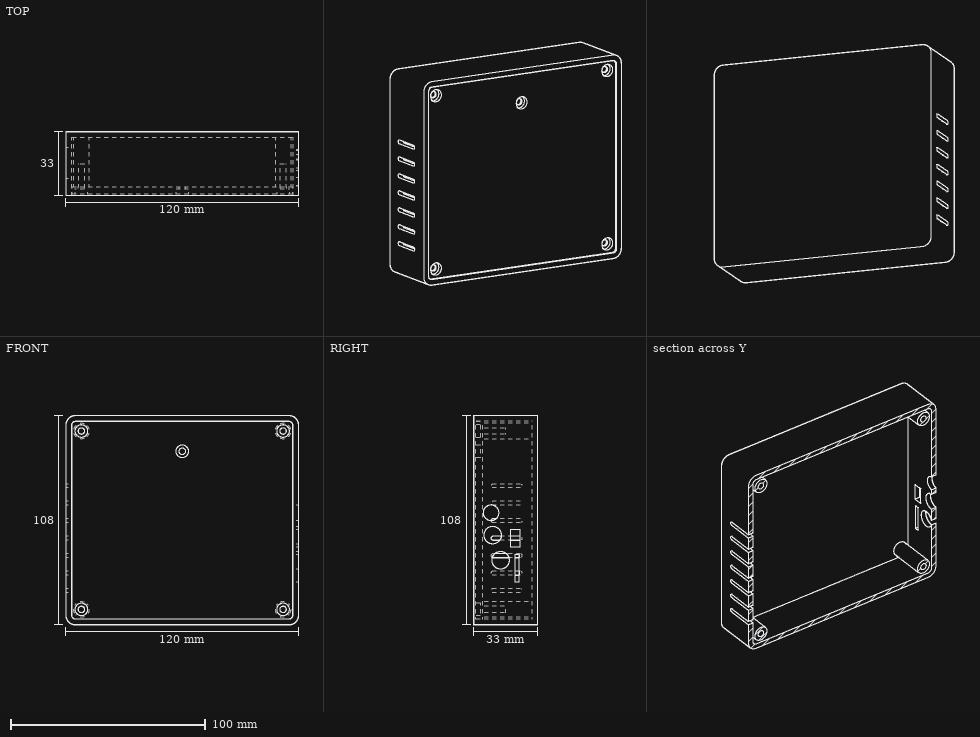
import cadquery as cq

LENGTH = 120.0
DEPTH = 33.0
HEIGHT = 108.0
WALL = 3.0
CORNER_RADIUS = 5.0
INNER_CORNER_RADIUS = CORNER_RADIUS - WALL
FRONT_Y = -DEPTH / 2

LID_RECESS = 1.0
LID_CLEARANCE = 0.1
LID_THICKNESS = 3.5
LID_FRONT_Y = FRONT_Y + LID_RECESS
LID_BACK_Y = LID_FRONT_Y + LID_THICKNESS

SCREW_INSET = 8.0
SCREW_X = LENGTH / 2 - SCREW_INSET
SCREW_Z = HEIGHT / 2 - SCREW_INSET
CORNER_SCREWS = [(x, z) for x in (-SCREW_X, SCREW_X) for z in (-SCREW_Z, SCREW_Z)]
CENTRE_SCREW = (0, 35.5)
SCREW_HOLE_DIAMETER = 3.4
SCREW_HEAD_DIAMETER = 6.5
SCREW_HEAD_DEPTH = 2.5
POST_DIAMETER = 8.0
PILOT_DIAMETER = 3.2
PILOT_DEPTH = 12.0

SLOT_COUNT = 7
SLOT_PITCH = 9.0
SLOT_LENGTH = 16.0
SLOT_WIDTH = 2.0
SLOT_Y = 0.5
SLOT_MIDDLE_Z = -9.2

JACK_DIAMETER = 9.0
JACK_PLACES = [(-2.6, -20.6), (-6.7, -7.7)]
BUTTON_DIAMETER = 8.0
BUTTON_PLACES = [(-7.5, 3.8)]
WIDE_WINDOW_SIZE = (4.8, 9.0)
WIDE_WINDOW_PLACE = (4.9, SLOT_MIDDLE_Z)
NARROW_WINDOW_SIZE = (2.0, 14.0)
NARROW_WINDOW_PLACE = (5.9, -24.7)


def block_from(y_front, length, depth, height, radius):
    """A block with its front face at y_front and its four Y edges rounded."""
    return (
        cq.Workplane("XY")
        .box(length, depth, height)
        .edges("|Y")
        .fillet(radius)
        .translate((0, y_front + depth / 2, 0))
    )


def rods(places, diameter, y_front, length):
    """Cylinders along +Y that start at y_front, one at each (X, Z) place."""
    return (
        cq.Workplane("XZ", origin=(0, y_front, 0))
        .pushPoints(places)
        .circle(diameter / 2)
        .extrude(-length)
    )


def wall_plane(x):
    """A plane facing +X whose local axes are Y and Z."""
    return cq.Workplane("YZ", origin=(x, 0, 0))


def vent_slots():
    """Cutters for the row of round-ended slots through the -X wall."""
    middle = (SLOT_COUNT - 1) / 2
    places = [(SLOT_Y, SLOT_MIDDLE_Z + (i - middle) * SLOT_PITCH) for i in range(SLOT_COUNT)]
    return wall_plane(-LENGTH / 2).pushPoints(places).slot2D(SLOT_LENGTH, SLOT_WIDTH).extrude(WALL)


def window(place, size):
    """Cutter for a rectangular window through the +X wall."""
    return wall_plane(LENGTH / 2).pushPoints([place]).rect(*size).extrude(-WALL)


def round_openings(places, diameter):
    """Cutters for round openings through the +X wall."""
    return wall_plane(LENGTH / 2).pushPoints(places).circle(diameter / 2).extrude(-WALL)


def make_housing():
    shell = block_from(FRONT_Y, LENGTH, DEPTH, HEIGHT, CORNER_RADIUS)
    cavity = block_from(
        FRONT_Y, LENGTH - 2 * WALL, DEPTH - WALL, HEIGHT - 2 * WALL, INNER_CORNER_RADIUS
    )
    posts = rods(CORNER_SCREWS, POST_DIAMETER, LID_BACK_Y, DEPTH / 2 - LID_BACK_Y)
    pilots = rods(CORNER_SCREWS, PILOT_DIAMETER, LID_BACK_Y, PILOT_DEPTH)
    return (
        shell.cut(cavity)
        .union(posts)
        .cut(pilots)
        .cut(vent_slots())
        .cut(round_openings(JACK_PLACES, JACK_DIAMETER))
        .cut(round_openings(BUTTON_PLACES, BUTTON_DIAMETER))
        .cut(window(WIDE_WINDOW_PLACE, WIDE_WINDOW_SIZE))
        .cut(window(NARROW_WINDOW_PLACE, NARROW_WINDOW_SIZE))
    )


def make_lid():
    inset = WALL + LID_CLEARANCE
    plate = block_from(
        LID_FRONT_Y, LENGTH - 2 * inset, LID_THICKNESS, HEIGHT - 2 * inset, CORNER_RADIUS - inset
    )
    screws = [*CORNER_SCREWS, CENTRE_SCREW]
    holes = rods(screws, SCREW_HOLE_DIAMETER, LID_FRONT_Y, LID_THICKNESS)
    heads = rods(screws, SCREW_HEAD_DIAMETER, LID_FRONT_Y, SCREW_HEAD_DEPTH)
    return plate.cut(holes).cut(heads)


housing = make_housing()
lid = make_lid()
result = cq.Compound.makeCompound([housing.val(), lid.val()])